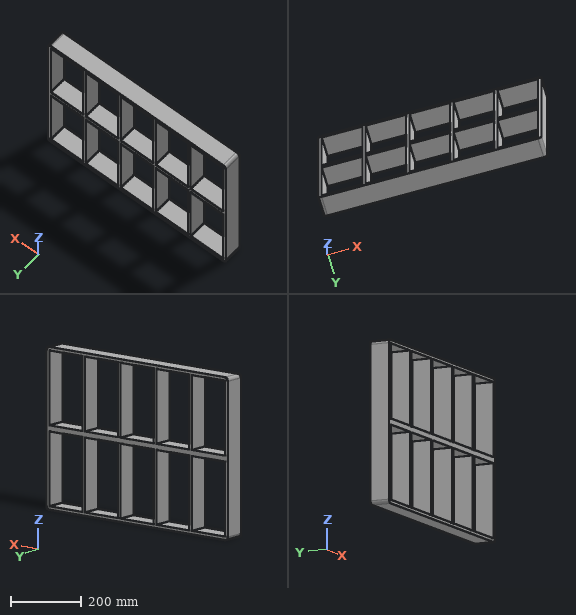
import cadquery as cq

width = 662.5
depth = 60.0
height = 476.0
corner_radius = 10.5

rim = 10.5
upright = 10.0
crossbar = 18.0

columns = 5
rows = 2
opening_width = (width - 2 * rim - (columns - 1) * upright) / columns
opening_height = (height - 2 * rim - (rows - 1) * crossbar) / rows

frame = cq.Workplane("XY").box(width, depth, height).edges("|Y").fillet(corner_radius)

openings = (
    cq.Workplane("XZ")
    .rarray(opening_width + upright, opening_height + crossbar, columns, rows)
    .rect(opening_width, opening_height)
    .extrude(depth, both=True)
)

result = frame.cut(openings)